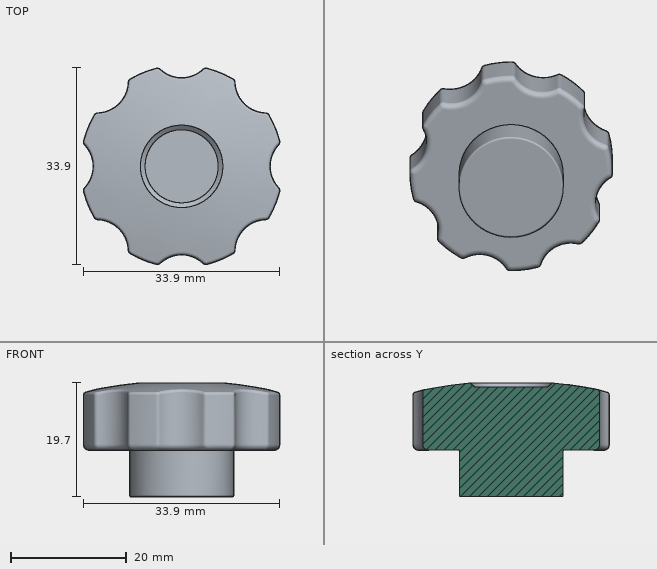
import cadquery as cq
import math

head_radius = 17.48
head_bottom = 8.03
rim_height = 19.68
dome_radius = 75.2
top_round = 0.5
bottom_round = 0.98

notch_count = 8
notch_radius = 5.42
notch_floor = 15.28
tip_round = 0.78

recess_floor_radius = 6.3
recess_rim_radius = 7.1
recess_depth = 0.7

hub_diameter = 18.0
hub_edge_round = 0.3


def dome_height(radius):
    """Height of the spherical dome at a distance from the axis."""
    dome_centre = rim_height - math.sqrt(dome_radius**2 - recess_rim_radius**2)
    return dome_centre + math.sqrt(dome_radius**2 - radius**2)


def make_domed_disc():
    mid_radius = head_radius / 2
    return (
        cq.Workplane("XZ")
        .moveTo(0, head_bottom)
        .lineTo(head_radius, head_bottom)
        .lineTo(head_radius, dome_height(head_radius))
        .threePointArc((mid_radius, dome_height(mid_radius)), (0, dome_height(0)))
        .close()
        .revolve(360, (0, 0, 0), (0, 1, 0))
    )


def make_notches():
    return (
        cq.Workplane("XY")
        .workplane(offset=head_bottom)
        .polarArray(notch_floor + notch_radius, 0, 360, notch_count)
        .circle(notch_radius)
        .extrude(rim_height)
    )


def make_head():
    head = make_domed_disc().cut(make_notches())
    head = head.edges("|Z").fillet(tip_round)
    head = head.faces(">Z").edges().fillet(top_round)
    return head.faces("<Z").edges().fillet(bottom_round)


def make_recess():
    wall_run = recess_rim_radius - recess_floor_radius
    return (
        cq.Workplane("XY")
        .workplane(offset=rim_height - recess_depth)
        .circle(recess_floor_radius)
        .workplane(offset=2 * recess_depth)
        .circle(recess_rim_radius + wall_run)
        .loft()
    )


def make_hub():
    hub = cq.Workplane("XY").circle(hub_diameter / 2).extrude(head_bottom)
    return hub.faces("<Z").edges().fillet(hub_edge_round)


result = make_head().cut(make_recess()).union(make_hub())